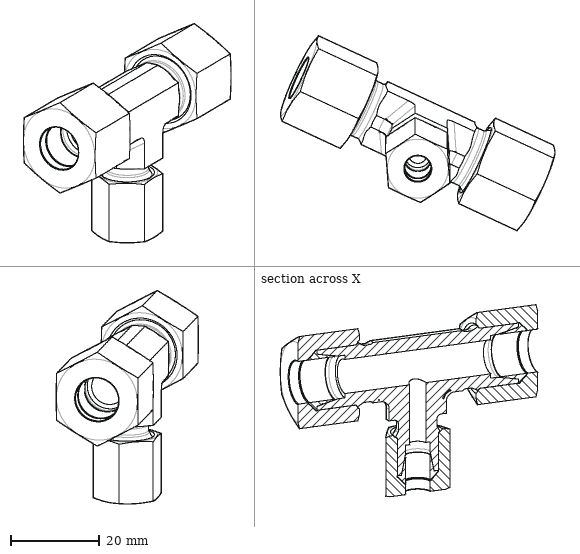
import cadquery as cq
import math


SIN_30, COS_30, TAN_30 = math.sin(math.pi / 6), math.cos(math.pi / 6), math.tan(math.pi / 6)
TAN_CONE = math.tan(math.radians(12))

END_REACH = 30.0

BLOCK_FLATS = 14.0
BLOCK_HEIGHT = 14.4
RUN_BLOCK_REACH = 11.0
BRANCH_BLOCK_REACH = 12.0
CROTCH_RADIUS = 2.0
CROTCH_BOX_START = 4.8
CROTCH_BOX_END = 7.5

NECK_FILLET = 1.0
HOLE_CHAMFER = 0.2
LIP = 2.5
STUD_SOCKET = 7.0
NUT_EDGE_RELIEF = 0.1
NUT_EDGE_SLOPE = math.tan(math.radians(15))
RING_NOSE_WALL = 0.2


class EndSize:
    """Sizes of one end of the fitting, all on the axis of that end."""

    def __init__(self, tube, bore, cone, thread, neck, mouth, flats, nut_length,
                 block_reach, flare_start):
        self.tube = tube
        self.bore = bore
        self.cone = cone
        self.thread = thread
        self.neck = neck
        self.mouth = mouth
        self.flats = flats
        self.nut_start = END_REACH - nut_length
        self.lip_start = END_REACH - LIP
        self.block_reach = block_reach
        self.flare_start = flare_start
        self.shoulder_start = self.lip_start - (thread - tube) / 2
        self.stud_face = self.shoulder_start
        self.tube_stop = self.stud_face - STUD_SOCKET


RUN = EndSize(tube=10.0, bore=8.0, cone=12.3, thread=14.4, neck=13.7, mouth=16.4,
              flats=19.0, nut_length=15.5, block_reach=RUN_BLOCK_REACH, flare_start=13.3)
BRANCH = EndSize(tube=6.0, bore=4.0, cone=8.1, thread=10.4, neck=9.7, mouth=12.35,
                 flats=14.0, nut_length=14.5, block_reach=BRANCH_BLOCK_REACH, flare_start=14.4)


def revolve(profile):
    """Turn a closed (radius, axial) profile about the Z axis."""
    return profile.close().revolve(360, (0, 0, 0), (0, 1, 0))


def turned(points):
    return revolve(cq.Workplane("XZ").polyline(points))


def hexagon(flats, start, length):
    """Hexagonal bar along Z with two flats facing +X and -X."""
    corners = flats / COS_30
    return cq.Workplane("XY").workplane(offset=start).polygon(6, corners).extrude(length).rotate(
        (0, 0, 0), (0, 0, 1), 30)



def at_front(body):
    return body.rotate((0, 0, 0), (1, 0, 0), 90)


def at_back(body):
    return body.rotate((0, 0, 0), (1, 0, 0), -90)


def at_bottom(body):
    return body.rotate((0, 0, 0), (1, 0, 0), 180)


ENDS = [(RUN, at_front), (RUN, at_back), (BRANCH, at_bottom)]



def make_bar(start, length):
    """Hexagonal bar along Z with its two Y corners cut flat."""
    trim = cq.Workplane("XY").workplane(offset=start).rect(BLOCK_FLATS, BLOCK_HEIGHT).extrude(length)
    return hexagon(BLOCK_FLATS, start, length).intersect(trim)


def make_block():
    """Run and branch bars joined, with rounded crotches between them."""
    run = at_back(make_bar(-RUN.block_reach, 2 * RUN.block_reach))
    branch = at_bottom(make_bar(0, BRANCH.block_reach))
    block = run.union(branch)
    half = BLOCK_HEIGHT / 2
    for side in (1, -1):
        block = block.edges(cq.selectors.BoxSelector(
            (-half, side * CROTCH_BOX_START, -CROTCH_BOX_START),
            (half, side * CROTCH_BOX_END, -CROTCH_BOX_END))).fillet(CROTCH_RADIUS)
    return block



def make_neck_root(size):
    """Concave fillet from the block to the neck, kept within the bar outline."""
    neck = size.neck / 2
    fillet_end = size.block_reach + NECK_FILLET
    root = revolve(
        cq.Workplane("XZ")
        .moveTo(0, size.block_reach)
        .lineTo(neck + NECK_FILLET, size.block_reach)
        .radiusArc((neck, fillet_end), NECK_FILLET)
        .lineTo(0, fillet_end))
    return root.intersect(make_bar(size.block_reach, NECK_FILLET))


def make_stud(size):
    """Neck, flared seat for the nut and threaded stud beyond the neck fillet."""
    neck = size.neck / 2
    thread = size.thread / 2
    neck_start = size.block_reach + NECK_FILLET
    flare_arc_end = size.flare_start + NECK_FILLET * SIN_30
    flare_arc_radius = neck + NECK_FILLET * (1 - COS_30)
    flare_length = (size.mouth / 2 - flare_arc_radius + size.nut_start - flare_arc_end) / (1 + TAN_30)
    flare_end = flare_arc_end + flare_length
    flare_radius = flare_arc_radius + flare_length * TAN_30
    return revolve(
        cq.Workplane("XZ")
        .moveTo(0, neck_start)
        .lineTo(neck, neck_start)
        .lineTo(neck, size.flare_start)
        .radiusArc((flare_arc_radius, flare_arc_end), NECK_FILLET)
        .lineTo(flare_radius, flare_end)
        .lineTo(thread, flare_end + flare_radius - thread)
        .lineTo(thread, size.stud_face)
        .lineTo(0, size.stud_face))


def make_bore(size):
    """Flow bore, tube socket and sealing cone, cut into the stud from the centre outward."""
    tube = size.tube / 2
    cone = size.cone / 2
    bore = size.bore / 2
    cone_start = size.stud_face - (cone - tube) / TAN_CONE
    return turned([
        (0, 0), (bore, 0), (bore, size.tube_stop), (tube, size.tube_stop),
        (tube, cone_start), (cone, size.stud_face), (0, size.stud_face)])


def make_nut(size):
    """Union nut with chamfered hexagon, countersink, thread, 45 degree shoulder and tube hole."""
    hole = size.tube / 2
    thread = size.thread / 2
    mouth = size.mouth / 2
    corner = size.flats / COS_30 / 2
    face = (size.flats - NUT_EDGE_RELIEF) / 2
    edge_depth = (corner - face) * NUT_EDGE_SLOPE
    envelope = turned([
        (0, size.nut_start), (face, size.nut_start), (corner, size.nut_start + edge_depth),
        (corner, END_REACH - edge_depth), (face, END_REACH), (0, END_REACH)])
    cavity = turned([
        (0, size.nut_start), (mouth, size.nut_start),
        (thread, size.nut_start + mouth - thread), (thread, size.shoulder_start),
        (hole, size.lip_start), (hole, END_REACH - HOLE_CHAMFER),
        (hole + HOLE_CHAMFER, END_REACH), (0, END_REACH)])
    return hexagon(size.flats, size.nut_start, END_REACH - size.nut_start).intersect(envelope).cut(cavity)


def make_ring(size):
    """Cutting ring whose nose fits the sealing cone and whose back fits the nut shoulder."""
    tube = size.tube / 2
    cone = size.cone / 2
    thread = size.thread / 2
    nose = tube + RING_NOSE_WALL
    nose_end = size.stud_face - (cone - nose) / TAN_CONE
    back_edge = tube + HOLE_CHAMFER
    back_end = size.lip_start - HOLE_CHAMFER
    return turned([
        (tube, nose_end), (nose, nose_end), (cone, size.stud_face), (thread, size.stud_face),
        (back_edge, back_end), (tube, back_end - HOLE_CHAMFER)])



def make_tee_body():
    body = make_block()
    for size, place in ENDS:
        body = body.union(place(make_neck_root(size))).union(place(make_stud(size)))
    for size, place in ENDS:
        body = body.cut(place(make_bore(size)))
    return body


tee_body = make_tee_body()
nuts = [place(make_nut(size)) for size, place in ENDS]
rings = [place(make_ring(size)) for size, place in ENDS]

result = cq.Compound.makeCompound([
    tee_body.val(),
    *[nut.val() for nut in nuts],
    *[ring.val() for ring in rings],
])